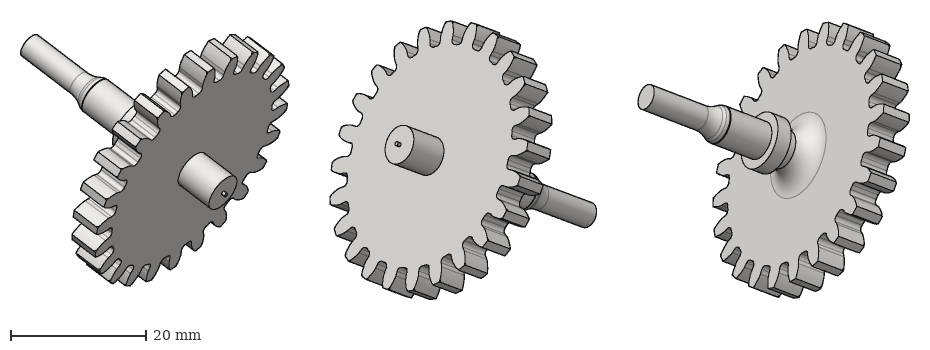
import cadquery as cq
import math

SPINDLE_END = 10.1
NECK_ARC_END = 12.35
NECK_CONE_END = 12.83
NECK_END = 13.45
SHAFT_START = 13.57
COLLAR_START = 21.2
COLLAR_END = 23.65
FLARE_START = 25.65
GEAR_START = 28.43
GEAR_END = 33.23
SHAFT_END = 39.55
PIN_END = 40.2

SPINDLE_RADIUS = 3.95 / 2
NECK_ARC_RISE = 0.6
NECK_END_RADIUS = 2.95
SHAFT_RADIUS = 5.95 / 2
COLLAR_RADIUS = 8.9 / 2
FLARE_RADIUS = 13.4 / 2
PIN_RADIUS = 0.62 / 2

GEAR_SPAN = 41.4
TEETH = 24
PRESSURE_ANGLE = math.radians(14.5)
DEDENDUM_FACTOR = 1.25
ROOT_FILLET = 0.7
FLANK_STEPS = 6

CORNER_OVERHANG = 0.05
CORNER_CUT_AXIAL = 0.5
CORNER_CUT_ACROSS = 0.15
CORNER_CUT_DOWN = 0.8

PITCH_ANGLE = 2 * math.pi / TEETH
FIRST_TOOTH_ANGLE = PITCH_ANGLE / 4


def involute(angle):
    return math.tan(angle) - angle


BASE_HALF_ANGLE = PITCH_ANGLE / 4 + involute(PRESSURE_ANGLE)
TIP_PRESSURE_ANGLE = math.acos(math.cos(PRESSURE_ANGLE) * TEETH / (TEETH + 2))
TIP_HALF_ANGLE = BASE_HALF_ANGLE - involute(TIP_PRESSURE_ANGLE)

TIP_RADIUS = GEAR_SPAN / 2 / math.cos(FIRST_TOOTH_ANGLE - TIP_HALF_ANGLE)
MODULE = 2 * TIP_RADIUS / (TEETH + 2)
PITCH_RADIUS = MODULE * TEETH / 2
BASE_RADIUS = PITCH_RADIUS * math.cos(PRESSURE_ANGLE)
ROOT_RADIUS = PITCH_RADIUS - DEDENDUM_FACTOR * MODULE


def polar(radius, angle):
    return (radius * math.cos(angle), radius * math.sin(angle))


def flank_points(tooth_angle, side):
    """Points on one involute flank from the base circle to the tip; side is -1 or +1."""
    points = []
    for step in range(FLANK_STEPS + 1):
        radius = BASE_RADIUS + (TIP_RADIUS - BASE_RADIUS) * step / FLANK_STEPS
        half_angle = BASE_HALF_ANGLE - involute(math.acos(BASE_RADIUS / radius))
        points.append(polar(radius, tooth_angle + side * half_angle))
    return points


def root_fillet_points(tooth_angle, side):
    """Start on the root circle, middle and end on the radial flank of one root fillet."""
    flank_angle = tooth_angle + side * BASE_HALF_ANGLE
    center_radius = ROOT_RADIUS + ROOT_FILLET
    offset_angle = math.asin(ROOT_FILLET / center_radius)
    root_angle = flank_angle + side * offset_angle
    center_x, center_y = polar(center_radius, root_angle)
    middle_direction = root_angle + math.pi + side * (math.pi / 2 - offset_angle) / 2
    middle_x, middle_y = polar(ROOT_FILLET, middle_direction)
    root_point = polar(ROOT_RADIUS, root_angle)
    middle_point = (center_x + middle_x, center_y + middle_y)
    flank_point = polar(center_radius * math.cos(offset_angle), flank_angle)
    return root_point, middle_point, flank_point


def make_corner_cutter(tooth_angle, side):
    """Tetrahedron that bevels one tip corner, with its apex just outside the tooth."""
    tip_angle = tooth_angle + side * TIP_HALF_ANGLE
    down = tip_angle + math.pi - side * TIP_PRESSURE_ANGLE
    across = tip_angle - side * math.pi / 2
    corner = cq.Vector(GEAR_END, *polar(TIP_RADIUS, tip_angle))
    axial_step = cq.Vector(-1, 0, 0)
    down_step = cq.Vector(0, *polar(1, down))
    across_step = cq.Vector(0, *polar(1, across))
    apex = corner - (axial_step + down_step + across_step) * CORNER_OVERHANG
    points = [
        apex,
        apex + axial_step * CORNER_CUT_AXIAL,
        apex + across_step * CORNER_CUT_ACROSS,
        apex + down_step * CORNER_CUT_DOWN,
    ]
    faces = []
    for skipped in points:
        triangle = [point for point in points if point is not skipped]
        faces.append(cq.Face.makeFromWires(cq.Wire.makePolygon(triangle, close=True)))
    return cq.Solid.makeSolid(cq.Shell.makeShell(faces))


def make_gear():
    outline = cq.Workplane("YZ").workplane(offset=GEAR_START)
    outline = outline.moveTo(*root_fillet_points(FIRST_TOOTH_ANGLE, -1)[0])
    for index in range(TEETH):
        tooth_angle = FIRST_TOOTH_ANGLE + index * PITCH_ANGLE
        next_angle = tooth_angle + PITCH_ANGLE
        _, rise_middle, rise_end = root_fillet_points(tooth_angle, -1)
        rising = flank_points(tooth_angle, -1)
        falling = flank_points(tooth_angle, 1)[::-1]
        fall_end, fall_middle, fall_start = root_fillet_points(tooth_angle, 1)
        outline = (
            outline.threePointArc(rise_middle, rise_end)
            .lineTo(*rising[0])
            .spline(rising[1:], includeCurrent=True)
            .threePointArc(polar(TIP_RADIUS, tooth_angle), falling[0])
            .spline(falling[1:], includeCurrent=True)
            .lineTo(*fall_start)
            .threePointArc(fall_middle, fall_end)
            .threePointArc(
                polar(ROOT_RADIUS, tooth_angle + PITCH_ANGLE / 2),
                root_fillet_points(next_angle, -1)[0],
            )
        )
    gear = outline.close().extrude(GEAR_END - GEAR_START).val()
    cutters = [
        make_corner_cutter(FIRST_TOOTH_ANGLE + index * PITCH_ANGLE, side)
        for index in range(TEETH)
        for side in (-1, 1)
    ]
    return cq.Workplane(gear.cut(*cutters))


def make_shaft():
    neck_arc_radius = SPINDLE_RADIUS + NECK_ARC_RISE
    neck_slope = math.tan(2 * math.atan(NECK_ARC_RISE / (NECK_ARC_END - SPINDLE_END)))
    neck_cone_radius = neck_arc_radius + neck_slope * (NECK_CONE_END - NECK_ARC_END)

    flare_length = GEAR_START - FLARE_START
    flare_height = FLARE_RADIUS - SHAFT_RADIUS
    flare_arc = (flare_length**2 + flare_height**2) / (2 * flare_length)

    profile = (
        cq.Workplane("XY")
        .lineTo(0, SPINDLE_RADIUS)
        .lineTo(SPINDLE_END, SPINDLE_RADIUS)
        .tangentArcPoint((NECK_ARC_END, neck_arc_radius), relative=False)
        .lineTo(NECK_CONE_END, neck_cone_radius)
        .tangentArcPoint((NECK_END, NECK_END_RADIUS), relative=False)
        .lineTo(SHAFT_START, SHAFT_RADIUS)
        .lineTo(COLLAR_START, SHAFT_RADIUS)
        .lineTo(COLLAR_START, COLLAR_RADIUS)
        .lineTo(COLLAR_END, COLLAR_RADIUS)
        .lineTo(COLLAR_END, SHAFT_RADIUS)
        .lineTo(FLARE_START, SHAFT_RADIUS)
        .radiusArc((GEAR_START, FLARE_RADIUS), -flare_arc)
        .lineTo(GEAR_END, FLARE_RADIUS)
        .lineTo(GEAR_END, SHAFT_RADIUS)
        .lineTo(SHAFT_END, SHAFT_RADIUS)
        .lineTo(SHAFT_END, PIN_RADIUS)
        .lineTo(PIN_END, PIN_RADIUS)
        .lineTo(PIN_END, 0)
        .close()
    )
    return profile.revolve(360, (0, 0, 0), (1, 0, 0))


result = make_shaft().union(make_gear())